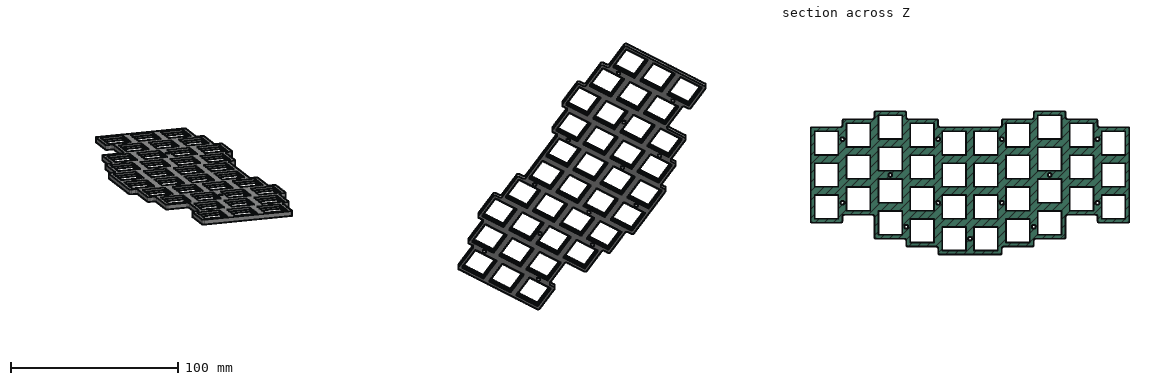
import cadquery as cq

PITCH = 19.05
EDGE_MARGIN = 0.02
THICKNESS = 3.0
SWITCH_OPENING = 14.0
CLIP_LEDGE = 0.5
LIP_THICKNESS = 1.5
HOLE_DIAMETER = 2.2
CORNER_RADIUS = 1.12

STAGGER_STEP = PITCH / 4
STAGGER_STEPS = [0, 1, 2, 1, 0]
KEYS_PER_COLUMN = [3, 3, 4, 4, 4]
HALF_COLUMNS = len(KEYS_PER_COLUMN)

HIGHEST_TOP = max(STAGGER_STEPS) * STAGGER_STEP
LOWEST_BOTTOM = min(
    steps * STAGGER_STEP - keys * PITCH for steps, keys in zip(STAGGER_STEPS, KEYS_PER_COLUMN)
)
UNSHIFTED_TOP = -(HIGHEST_TOP + LOWEST_BOTTOM) / 2


def column_boundary_x(column):
    """X of the outer side of a left-half column; the plate is centred on X = 0."""
    return (column - HALF_COLUMNS) * PITCH


def column_top(column):
    return UNSHIFTED_TOP + STAGGER_STEPS[column] * STAGGER_STEP


def key_center(column, row):
    """Centre of a key in the left half; row 0 is the top one."""
    return (column_boundary_x(column + 0.5), column_top(column) - (row + 0.5) * PITCH)


def midpoint(first, second):
    return ((first[0] + second[0]) / 2, (first[1] + second[1]) / 2)


def with_mirror(points):
    """The given left-half points followed by their mirror images across X = 0."""
    return points + [(-x, y) for x, y in points]


def make_blank():
    """Stepped plate: one slab per column, fused, with all corners rounded."""
    blank = cq.Workplane("XY")
    slab_width = PITCH + 2 * EDGE_MARGIN
    for column, keys in enumerate(KEYS_PER_COLUMN):
        depth = keys * PITCH + 2 * EDGE_MARGIN
        center_y = column_top(column) - keys * PITCH / 2
        column_centers = with_mirror([(column_boundary_x(column + 0.5), center_y)])
        slabs = (
            cq.Workplane("XY")
            .pushPoints(column_centers)
            .rect(slab_width, depth)
            .extrude(THICKNESS)
        )
        blank = blank.union(slabs)
    return blank.clean().edges("|Z").fillet(CORNER_RADIUS)


def switch_opening_centers():
    return with_mirror([
        key_center(column, row)
        for column, keys in enumerate(KEYS_PER_COLUMN)
        for row in range(keys)
    ])


def screw_hole_centers():
    """Holes halfway between two (column, row) neighbours, plus one on the centre line."""
    neighbouring_keys = [
        ((0, 0), (1, 0)),
        ((0, 2), (1, 2)),
        ((2, 1), (2, 2)),
        ((2, 3), (3, 3)),
        ((3, 0), (4, 0)),
        ((3, 2), (4, 2)),
    ]
    side_holes = [midpoint(key_center(*a), key_center(*b)) for a, b in neighbouring_keys]
    bottom_middle_key = key_center(HALF_COLUMNS - 1, KEYS_PER_COLUMN[-1] - 1)
    return with_mirror(side_holes) + [(0, bottom_middle_key[1])]


def square_prisms(side, height):
    """Square prisms standing on the plate's underside, one at every switch opening."""
    return (
        cq.Workplane("XY")
        .pushPoints(switch_opening_centers())
        .rect(side, side)
        .extrude(height)
    )


def cut_switch_openings(plate):
    """Through openings, widened below the lip so that switch clips can snap under it."""
    relief_side = SWITCH_OPENING + 2 * CLIP_LEDGE
    relief_height = THICKNESS - LIP_THICKNESS
    plate = plate.cut(square_prisms(SWITCH_OPENING, THICKNESS))
    return plate.cut(square_prisms(relief_side, relief_height))


def cut_screw_holes(plate):
    holes = (
        cq.Workplane("XY")
        .pushPoints(screw_hole_centers())
        .circle(HOLE_DIAMETER / 2)
        .extrude(THICKNESS)
    )
    return plate.cut(holes)


result = cut_screw_holes(cut_switch_openings(make_blank()))